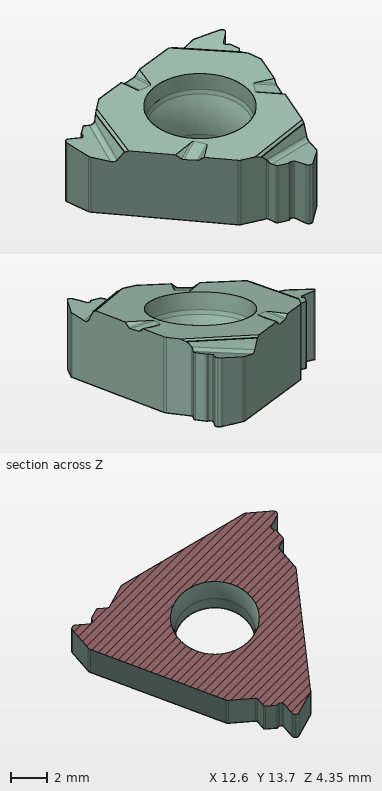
import cadquery as cq
import math


thickness = 4.35
side_distance = 9.525 / 2
corner_angles = (0, 120, 240)
overreach = 1.0

profile_angle = math.radians(60)
flank_distance = 6.832
crest_y = 6.878
crest_width = 0.27
root_y = 6.03
root_width = 0.23
land_y = 6.16
land_end_x = -2.11
shoulder_y = 5.58

crest_radius = 0.23
root_radius = 0.08
land_radius = 0.12
shoulder_radius = 0.12
heel_radius = 0.3

hole_radius = 4.4 / 2
mouth_radius = 3.08
neck_radius = 2.98
neck_depth = 0.99
seat_radius = 2.88
seat_depth = 1.23
seat_curve_radius = 4.0

rake_angle = math.radians(8)
wall_angle = math.radians(60)
groove_drop_angle = 5.0
groove_turn_angle = -0.6
groove_corner_x = 5.82
groove_corner_depth = 0.68
groove_fillet = 0.33
groove_outer_x = 9.0
groove_clearance = 1.5
groove_half_length = 5.0
edge_chamfer_width = 0.14
edge_chamfer_depth = 0.09

notch_depth = 0.25
notch_inner_x = -3.42
notch_inner_y = -0.53
notch_turn_angle = 14.0
notch_floor_width = 0.86
notch_wall_angle = math.radians(36)
notch_fillet = 0.2


def rotated(point, degrees):
    angle = math.radians(degrees)
    x, y = point
    return (
        x * math.cos(angle) - y * math.sin(angle),
        x * math.sin(angle) + y * math.cos(angle),
    )


def rounded_outline(corners):
    """Closed outline through (point, radius) corners, each rounded by a tangent arc."""
    arcs = []
    for i, (point, radius) in enumerate(corners):
        vertex = cq.Vector(*point)
        back = (cq.Vector(*corners[i - 1][0]) - vertex).normalized()
        ahead = (cq.Vector(*corners[(i + 1) % len(corners)][0]) - vertex).normalized()
        half_angle = back.getAngle(ahead) / 2
        setback = radius / math.tan(half_angle)
        gap = radius / math.sin(half_angle) - radius
        middle = vertex + (back + ahead).normalized() * gap
        arcs.append((vertex + back * setback, middle, vertex + ahead * setback))

    outline = cq.Workplane("XY").moveTo(*arcs[0][0].toTuple()[:2])
    for i, (start, middle, end) in enumerate(arcs):
        if i > 0:
            outline = outline.lineTo(start.x, start.y)
        outline = outline.threePointArc((middle.x, middle.y), (end.x, end.y))
    return outline.close()


def tooth_corners():
    """Sharp corners and radii of one tooth, clockwise from the -X side."""
    slope = math.tan(profile_angle)
    heel_y = (flank_distance - side_distance * math.sin(profile_angle)) / math.cos(profile_angle)
    crest_x = -side_distance + (crest_y - heel_y) / slope
    crest_end_x = crest_x + crest_width
    root_x = crest_end_x + (crest_y - root_y) / slope
    root_end_x = root_x + root_width
    land_x = root_end_x + (land_y - root_y) / slope
    shoulder_x = land_end_x + (land_y - shoulder_y) / slope
    next_side_x = (side_distance - shoulder_y * math.sin(profile_angle)) / math.cos(profile_angle)
    return [
        ((-side_distance, heel_y), heel_radius),
        ((crest_x, crest_y), crest_radius),
        ((crest_end_x, crest_y), crest_radius),
        ((root_x, root_y), root_radius),
        ((root_end_x, root_y), root_radius),
        ((land_x, land_y), root_radius),
        ((land_end_x, land_y), land_radius),
        ((shoulder_x, shoulder_y), shoulder_radius),
        ((next_side_x, shoulder_y), heel_radius),
    ]


def body():
    corners = []
    for angle in corner_angles:
        for point, radius in tooth_corners():
            corners.append((rotated(point, -angle), radius))
    return rounded_outline(corners).extrude(thickness)


def screw_hole():
    """Tapered mouth, short neck and convex seat running into the through hole."""
    curve_x = hole_radius + seat_curve_radius
    seat_tilt = math.acos((curve_x - seat_radius) / seat_curve_radius)
    seat_z = thickness - seat_depth
    seat_end_z = seat_z - seat_curve_radius * math.sin(seat_tilt)
    seat_middle = (
        curve_x - seat_curve_radius * math.cos(seat_tilt / 2),
        seat_end_z + seat_curve_radius * math.sin(seat_tilt / 2),
    )
    return (
        cq.Workplane("XZ")
        .lineTo(hole_radius, 0)
        .lineTo(hole_radius, seat_end_z)
        .threePointArc(seat_middle, (seat_radius, seat_z))
        .lineTo(neck_radius, thickness - neck_depth)
        .lineTo(mouth_radius, thickness)
        .lineTo(0, thickness)
        .close()
        .revolve(360, (0, 0, 0), (0, 1, 0))
    )


def groove_cutter():
    """Rake face, rounded root and wall, extruded along the falling groove."""
    corner_z = thickness - groove_corner_depth
    top_z = thickness + groove_clearance
    outer_rake_z = corner_z + (groove_outer_x - groove_corner_x) * math.tan(rake_angle)
    wall_top_x = groove_corner_x - (top_z - corner_z) / math.tan(wall_angle)
    cutter = (
        cq.Workplane("XZ")
        .moveTo(groove_corner_x, corner_z)
        .lineTo(groove_outer_x, outer_rake_z)
        .lineTo(groove_outer_x, top_z)
        .lineTo(wall_top_x, top_z)
        .close()
        .extrude(groove_half_length, both=True)
        .edges(cq.selectors.NearestToPointSelector((groove_corner_x, 0, corner_z)))
        .fillet(groove_fillet)
    )
    pivot = (groove_corner_x, 0, corner_z)
    pivot_x_end = (groove_corner_x + 1, 0, corner_z)
    pivot_z_end = (groove_corner_x, 0, corner_z + 1)
    cutter = cutter.rotate(pivot, pivot_x_end, -groove_drop_angle)
    return cutter.rotate(pivot, pivot_z_end, groove_turn_angle)


def groove_edge_cutter():
    """Wedge that bevels the edge where the groove wall meets the top face."""
    edge_x = groove_corner_x - groove_corner_depth / math.tan(wall_angle)
    wall_shift = math.tan(math.radians(groove_drop_angle)) / math.tan(wall_angle)
    edge_turn = groove_turn_angle + math.degrees(math.atan(wall_shift))
    bevel_slope = edge_chamfer_depth / edge_chamfer_width
    bevel_run = edge_chamfer_width + edge_chamfer_depth / math.tan(wall_angle)
    start_x = edge_x - edge_chamfer_width
    wedge = (
        cq.Workplane("XZ")
        .moveTo(start_x, thickness)
        .lineTo(start_x + bevel_run, thickness - bevel_run * bevel_slope)
        .lineTo(start_x + bevel_run, thickness)
        .close()
        .extrude(groove_half_length, both=True)
    )
    return wedge.rotate((edge_x, 0, 0), (edge_x, 0, 1), edge_turn)


def notch_cutter():
    """Round-bottomed trapezoid, extruded outward along the falling notch floor."""
    turn = math.radians(notch_turn_angle)
    run = (side_distance + notch_inner_x) / math.cos(turn)
    fall_angle = math.degrees(math.atan(notch_depth / run))
    height = 2 * notch_depth
    half_floor = notch_floor_width / 2
    half_top = half_floor + height / math.tan(notch_wall_angle)
    return (
        cq.Workplane("YZ")
        .moveTo(-half_floor, 0)
        .lineTo(half_floor, 0)
        .lineTo(half_top, height)
        .lineTo(-half_top, height)
        .close()
        .extrude(-run - overreach)
        .edges("|X and <Z")
        .fillet(notch_fillet)
        .rotate((0, 0, 0), (0, 1, 0), -fall_angle)
        .rotate((0, 0, 0), (0, 0, 1), -notch_turn_angle)
        .translate((notch_inner_x, notch_inner_y, thickness))
    )


result = body().cut(screw_hole())
for cutter in (groove_cutter(), groove_edge_cutter(), notch_cutter()):
    for angle in corner_angles:
        result = result.cut(cutter.rotate((0, 0, 0), (0, 0, 1), angle))